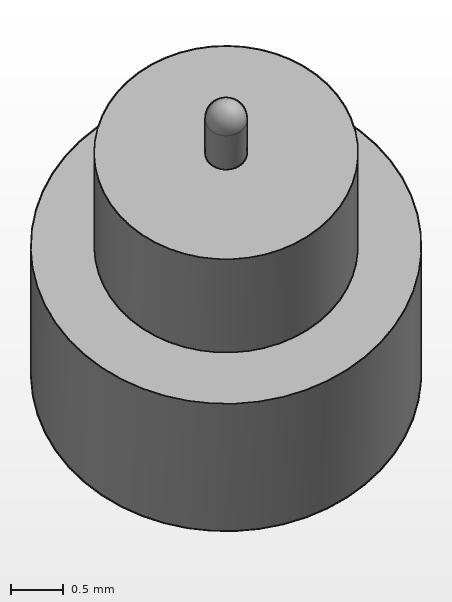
import cadquery as cq
import math

total_height = 4.3
base_diameter = 3.7
base_height = 2.05
collar_diameter = 2.5
collar_height = 1.5
pin_diameter = 0.4

base_radius = base_diameter / 2
collar_radius = collar_diameter / 2
pin_radius = pin_diameter / 2
collar_top = base_height + collar_height
dome_start = total_height - pin_radius

dome_mid_offset = pin_radius * math.sin(math.radians(45))
dome_mid = (dome_mid_offset, dome_start + dome_mid_offset)

half_section = (
    cq.Workplane("XZ")
    .lineTo(base_radius, 0)
    .lineTo(base_radius, base_height)
    .lineTo(collar_radius, base_height)
    .lineTo(collar_radius, collar_top)
    .lineTo(pin_radius, collar_top)
    .lineTo(pin_radius, dome_start)
    .threePointArc(dome_mid, (0, total_height))
    .close()
)

result = half_section.revolve(360, (0, 0, 0), (0, 1, 0))